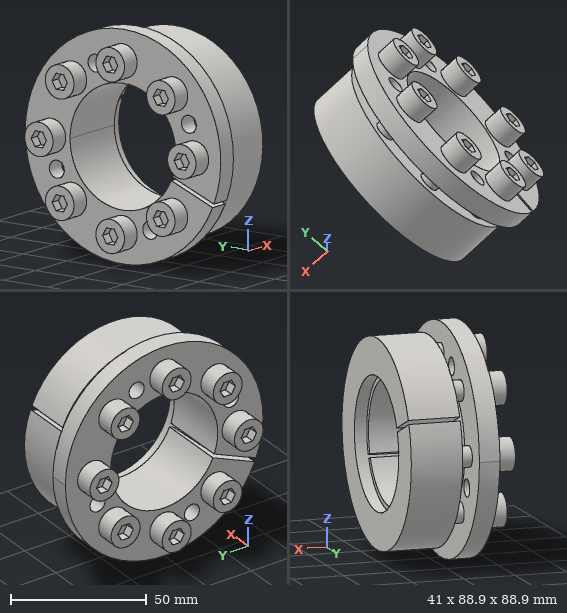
import cadquery as cq
import math


flange_diameter = 88.9
flange_thickness = 8.0
sleeve_length = 28.0
bore_diameter = 48.0
ring_diameter = 80.0
ring_length = 20.0
gap_length = 5.0
taper_angle = 5.0
cone_end_radius = 25.5
slit_width = 1.5

screw_count = 8
screw_circle_radius = 32.5
head_diameter = 13.0
head_height = 8.0
shank_diameter = 8.0
shank_length = 25.0
socket_sides = 6
socket_width = 6.0
socket_depth = 4.0

jacking_hole_count = 4
jacking_hole_diameter = 6.8

flange_back = flange_thickness
ring_front = flange_back + gap_length
ring_back = ring_front + ring_length

screw_pitch_angle = 360.0 / screw_count
half_pitch_angle = screw_pitch_angle / 2
sleeve_slit_angle = 180.0 + half_pitch_angle
ring_slit_angle = half_pitch_angle
first_jacking_hole_angle = half_pitch_angle + screw_pitch_angle


def cone_radius(x):
    """Radius of the shared cone, which narrows toward the back."""
    return cone_end_radius + (ring_back - x) * math.tan(math.radians(taper_angle))


def circle_points(count, start_angle):
    """Evenly spaced (Y, Z) points on the screw circle."""
    angles = [math.radians(start_angle + i * 360.0 / count) for i in range(count)]
    return [(screw_circle_radius * math.cos(a), screw_circle_radius * math.sin(a)) for a in angles]


def cylinder(x, length, diameter, centers):
    """Cylinders along +X from station x, one at each (Y, Z) center."""
    return cq.Workplane("YZ", origin=(x, 0, 0)).pushPoints(centers).circle(diameter / 2).extrude(length)


def revolve_about_x(profile):
    """Solid of revolution about X from (X, radius) points."""
    return cq.Workplane("XY").polyline(profile).close().revolve(360, (0, 0, 0), (1, 0, 0))


def slit(angle):
    """Radial slab that cuts one side of a ring over the whole length."""
    slab = cq.Workplane("XY").box(
        ring_back, flange_diameter, slit_width, centered=(False, False, True)
    )
    return slab.rotate((0, 0, 0), (1, 0, 0), angle)


screw_points = circle_points(screw_count, 0.0)


def make_inner_sleeve():
    """Flanged sleeve with a straight bore, a tapered outside and one slit."""
    bore_radius = bore_diameter / 2
    flange_radius = flange_diameter / 2
    sleeve = revolve_about_x([
        (0, bore_radius),
        (0, flange_radius),
        (flange_back, flange_radius),
        (flange_back, cone_radius(flange_back)),
        (sleeve_length, cone_radius(sleeve_length)),
        (sleeve_length, bore_radius),
    ])
    jacking_points = circle_points(jacking_hole_count, first_jacking_hole_angle)
    sleeve = sleeve.cut(cylinder(0, flange_thickness, shank_diameter, screw_points))
    sleeve = sleeve.cut(cylinder(0, flange_thickness, jacking_hole_diameter, jacking_points))
    return sleeve.cut(slit(sleeve_slit_angle))


def make_outer_ring():
    """Slit ring with a tapered bore and blind holes for the screw ends."""
    ring_radius = ring_diameter / 2
    ring = revolve_about_x([
        (ring_front, cone_radius(ring_front)),
        (ring_front, ring_radius),
        (ring_back, ring_radius),
        (ring_back, cone_end_radius),
    ])
    ring = ring.cut(cylinder(0, shank_length, shank_diameter, screw_points))
    return ring.cut(slit(ring_slit_angle))


def make_screw(center):
    """Hexagon socket head screw with its head seated on the flange."""
    head = cylinder(-head_height, head_height, head_diameter, [center])
    shank = cylinder(0, shank_length, shank_diameter, [center])
    socket_corner_diameter = socket_width / math.cos(math.pi / socket_sides)
    socket = (
        cq.Workplane("YZ", origin=(-head_height, 0, 0))
        .pushPoints([center])
        .polygon(socket_sides, socket_corner_diameter)
        .extrude(socket_depth)
    )
    return head.union(shank).cut(socket)


inner_sleeve = make_inner_sleeve()
outer_ring = make_outer_ring()
screws = [make_screw(center) for center in screw_points]

result = cq.Compound.makeCompound(
    [inner_sleeve.val(), outer_ring.val(), *[screw.val() for screw in screws]]
)